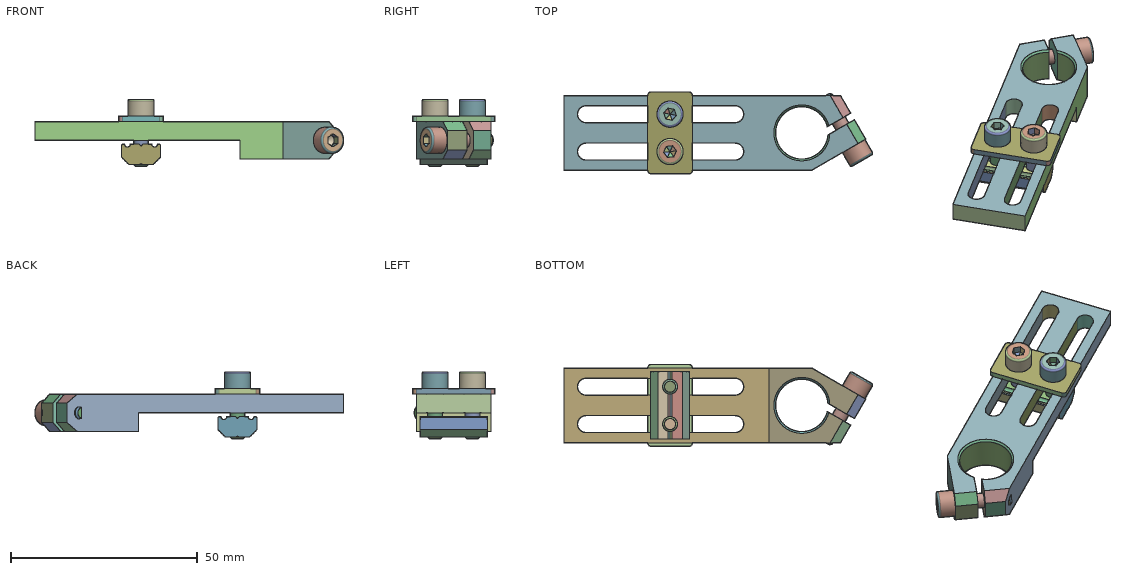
import cadquery as cq
import math


overall_length = 82.8

arm_width = 20.0
arm_thickness = 5.05
clamp_height = 10.0
step_x = 55.0
slot_start_x = 3.7
slot_length = 44.45
slot_width = 4.5
slot_spacing = 10.0

bore_diameter = 14.0
bore_chamfer = 0.5
nose_angle = 30
nose_reach = 14.0
nose_chamfer = 2.4
slit_width = 2.0
slit_offset = -3.0

head_diameter = 7.0
head_height = 4.5
head_rounding = 0.5
shank_diameter = 4.0
tip_chamfer = 0.5
socket_across_flats = 3.0
socket_depth = 2.0
socket_across_corners = socket_across_flats / math.cos(math.radians(30))
socket_floor_z = head_height - socket_depth
socket_point_depth = socket_across_flats / 2 * math.tan(math.radians(30))
clamp_screw_reach = 10.3
clamp_screw_length = 15.5
tip_protrusion = 0.5

set_x = 28.5
washer_size_x = 12.0
washer_size_y = 22.0
washer_thickness = 1.5
washer_corner_radius = 1.0
screw_turns = {1: -11, -1: 6}
nut_gap = 1.0
nut_size_x = 10.5
nut_size_y = 18.05
nut_height = 5.5
nut_base_chamfer = 2.0
nut_lip_chamfer = 0.25
nut_groove_offset = 3.65
nut_groove_radius = 0.75
nut_mark_width = 1.0
nut_top_mark_depth = 0.5
nut_base_mark_depth = 0.25

slant_cos = math.cos(math.radians(nose_angle))
slant_sin = math.sin(math.radians(nose_angle))
rim_centre_reach = clamp_screw_reach + head_diameter / 2 - head_rounding
rim_centre_offset = arm_width / 2 + head_height - head_rounding
bore_x = overall_length - rim_centre_reach * slant_cos - rim_centre_offset * slant_sin - head_rounding

clamp_bottom_z = arm_thickness - clamp_height
clamp_middle_z = (arm_thickness + clamp_bottom_z) / 2
washer_top_z = arm_thickness + washer_thickness
nut_top_z = -nut_gap
nut_bottom_z = nut_top_z - nut_height
fixing_screw_length = washer_top_z - nut_bottom_z + tip_protrusion


def make_socket_screw(length, socket_point):
    """Screw along Z, with the underside of its head at Z = 0 and its tip at Z = -length."""
    head = (
        cq.Workplane("XY")
        .circle(head_diameter / 2)
        .extrude(head_height)
        .faces(">Z")
        .edges()
        .fillet(head_rounding)
    )
    shank = (
        cq.Workplane("XY")
        .circle(shank_diameter / 2)
        .extrude(-length)
        .faces("<Z")
        .edges()
        .chamfer(tip_chamfer)
    )
    hexagon = (
        cq.Workplane("XY")
        .workplane(offset=socket_floor_z)
        .polygon(6, socket_across_corners)
        .extrude(socket_depth)
    )
    socket = hexagon.union(cq.Workplane(socket_point))
    return head.union(shank).cut(socket)


def make_pyramid_point():
    """Six-sided point that fills the whole floor of a hexagonal socket."""
    corner_radius = socket_across_corners / 2
    corner_angles = [math.radians(60 * i) for i in range(6)]
    corners = [
        cq.Vector(corner_radius * math.cos(angle), corner_radius * math.sin(angle), socket_floor_z)
        for angle in corner_angles
    ]
    apex = cq.Vector(0, 0, socket_floor_z - socket_point_depth)
    faces = [cq.Face.makeFromWires(cq.Wire.makePolygon(corners, close=True))]
    for i in range(6):
        triangle = [corners[i], corners[(i + 1) % 6], apex]
        faces.append(cq.Face.makeFromWires(cq.Wire.makePolygon(triangle, close=True)))
    return cq.Solid.makeSolid(cq.Shell.makeShell(faces))


def make_drill_point():
    """Cone that touches the flats of a hexagonal socket and leaves its corners flat."""
    base_centre = cq.Vector(0, 0, socket_floor_z)
    downward = cq.Vector(0, 0, -1)
    return cq.Solid.makeCone(socket_across_flats / 2, 0, socket_point_depth, base_centre, downward)


def place_in_nose(shape):
    """Move a shape from nose axes (bore axis at the origin, X toward the nose) to the arm."""
    return shape.rotate((0, 0, 0), (0, 0, 1), nose_angle).translate((bore_x, 0, 0))


def make_arm_body():
    """Full-height plate with a slanted nose, chamfered at its end and thinned ahead of the clamp."""
    half_width = arm_width / 2
    bend_x = bore_x + half_width * math.tan(math.radians(nose_angle / 2))
    nose_corner_x = bore_x + nose_reach * slant_cos + half_width * slant_sin
    nose_corner_y = nose_reach * slant_sin - half_width * slant_cos
    top_corner_x = bore_x + (nose_reach - half_width * slant_sin) / slant_cos
    end_face_direction = cq.Vector(slant_cos, slant_sin, 0)
    body = (
        cq.Workplane("XY")
        .workplane(offset=clamp_bottom_z)
        .moveTo(0, -half_width)
        .lineTo(bend_x, -half_width)
        .lineTo(nose_corner_x, nose_corner_y)
        .lineTo(top_corner_x, half_width)
        .lineTo(0, half_width)
        .close()
        .extrude(clamp_height)
        .faces(cq.DirectionSelector(end_face_direction))
        .edges("#Z")
        .chamfer(nose_chamfer)
    )
    relief = (
        cq.Workplane("XY")
        .center(0, -half_width)
        .rect(step_x, arm_width, centered=(False, False))
        .extrude(clamp_bottom_z)
    )
    return body.cut(relief)


def make_slots():
    """Pair of long slots through the thin part of the arm."""
    half_spacing = slot_spacing / 2
    return (
        cq.Workplane("XY")
        .pushPoints([(slot_start_x + slot_length / 2, side * half_spacing) for side in (-1, 1)])
        .slot2D(slot_length, slot_width)
        .extrude(arm_thickness)
    )


def make_bore():
    """Through bore, widened by a chamfer at both ends."""
    radius = bore_diameter / 2
    wide_radius = radius + bore_chamfer
    return (
        cq.Workplane("XZ")
        .moveTo(0, clamp_bottom_z)
        .lineTo(wide_radius, clamp_bottom_z)
        .lineTo(radius, clamp_bottom_z + bore_chamfer)
        .lineTo(radius, arm_thickness - bore_chamfer)
        .lineTo(wide_radius, arm_thickness)
        .lineTo(0, arm_thickness)
        .close()
        .revolve(360, (0, 0, 0), (0, 1, 0))
        .translate((bore_x, 0, 0))
    )


def make_slit():
    """Gap that splits the nose from the bore to its end face."""
    slit = (
        cq.Workplane("XY")
        .workplane(offset=clamp_bottom_z)
        .center(nose_reach / 2, slit_offset)
        .rect(nose_reach, slit_width)
        .extrude(clamp_height)
    )
    return place_in_nose(slit)


def make_clamp_screw():
    """Screw across the slit, with its head against the lower side of the nose."""
    screw = (
        make_socket_screw(clamp_screw_length, make_drill_point())
        .rotate((0, 0, 0), (1, 0, 0), 90)
        .rotate((0, 0, 0), (0, 1, 0), 90)
        .translate((clamp_screw_reach, -arm_width / 2, clamp_middle_z))
    )
    return place_in_nose(screw)


def make_arm():
    """Slotted arm and split clamp, joined with the clamp screw."""
    arm = make_arm_body().cut(make_slots()).cut(make_bore()).cut(make_slit())
    return arm.union(make_clamp_screw())


def make_washer_plate():
    return (
        cq.Workplane("XY")
        .workplane(offset=arm_thickness)
        .center(set_x, 0)
        .rect(washer_size_x, washer_size_y)
        .extrude(washer_thickness)
        .edges("|Z")
        .fillet(washer_corner_radius)
    )


def make_nut_bar():
    """Bar along Y with a bevelled base, two round grooves and shallow V marks."""
    bar = cq.Workplane("XY").box(nut_size_x, nut_size_y, nut_height, centered=(True, True, False))
    bar = bar.faces("<Z").edges("|Y").chamfer(nut_base_chamfer)
    bar = bar.faces(">Z").edges("|Y").chamfer(nut_lip_chamfer)
    grooves = (
        cq.Workplane("XZ")
        .pushPoints([(side * nut_groove_offset, nut_height) for side in (-1, 1)])
        .circle(nut_groove_radius)
        .extrude(nut_size_y / 2, both=True)
    )
    bar = bar.cut(grooves)
    mark_levels = ((nut_height, nut_height - nut_top_mark_depth), (0, nut_base_mark_depth))
    for face_z, mark_z in mark_levels:
        mark = (
            cq.Workplane("XZ")
            .moveTo(-nut_mark_width / 2, face_z)
            .lineTo(nut_mark_width / 2, face_z)
            .lineTo(0, mark_z)
            .close()
            .extrude(nut_size_y / 2, both=True)
        )
        bar = bar.cut(mark)
    return bar.translate((set_x, 0, nut_bottom_z))


def make_fixing_set():
    """Washer plate and nut bar joined by two screws that pass freely through the slots."""
    fixing_set = make_washer_plate().union(make_nut_bar())
    for side, turn in screw_turns.items():
        screw = (
            make_socket_screw(fixing_screw_length, make_pyramid_point())
            .rotate((0, 0, 0), (0, 0, 1), turn)
            .translate((set_x, side * slot_spacing / 2, washer_top_z))
        )
        fixing_set = fixing_set.union(screw)
    return fixing_set


arm = make_arm()
fixing_set = make_fixing_set()

result = cq.Compound.makeCompound([arm.val(), fixing_set.val()])